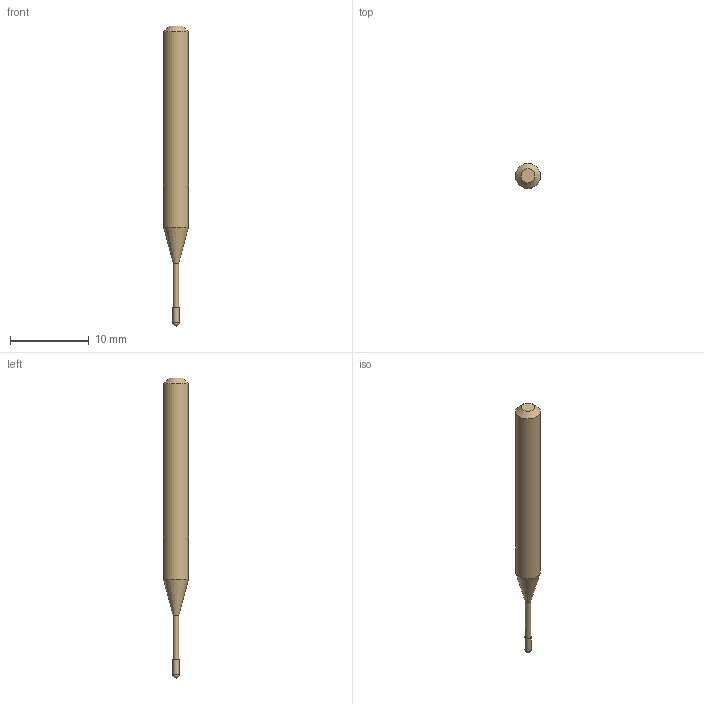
import cadquery as cq
import math

INCH = 25.4

overall_length = 1.5 * INCH
shank_diameter = 0.125 * INCH
shank_chamfer = 0.7
head_diameter = 0.031 * INCH
head_length = 3 * head_diameter
neck_diameter = 0.68
neck_top = 7.9
cone_half_angle = math.radians(15)

shank_radius = shank_diameter / 2
head_radius = head_diameter / 2
neck_radius = neck_diameter / 2

cone_top = neck_top + (shank_radius - neck_radius) / math.tan(cone_half_angle)

nose_mid_radius = head_radius * math.sin(math.pi / 4)
nose_mid_height = head_radius - head_radius * math.cos(math.pi / 4)


def half_profile():
    """Half section of the tool, as (radius, height) in the YZ plane, from the nose upward."""
    return (
        cq.Workplane("YZ")
        .moveTo(0, 0)
        .threePointArc((nose_mid_radius, nose_mid_height), (head_radius, head_radius))
        .lineTo(head_radius, head_length)
        .lineTo(neck_radius, head_length)
        .lineTo(neck_radius, neck_top)
        .lineTo(shank_radius, cone_top)
        .lineTo(shank_radius, overall_length - shank_chamfer)
        .lineTo(shank_radius - shank_chamfer, overall_length)
        .lineTo(0, overall_length)
        .close()
    )


result = half_profile().revolve(360, (0, 0, 0), (0, 1, 0))